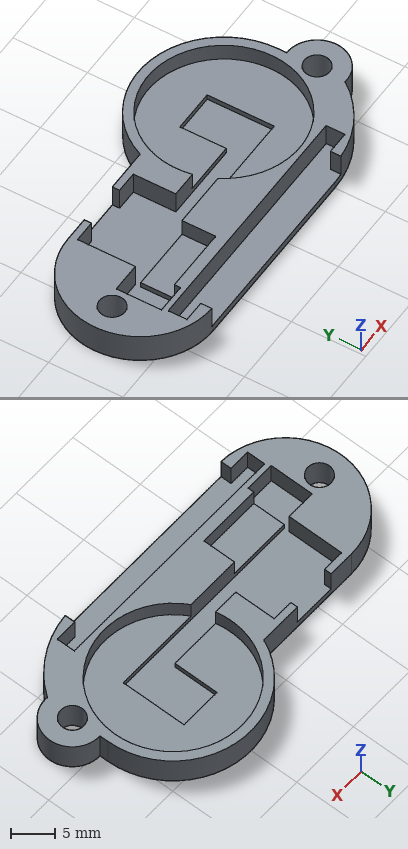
import cadquery as cq
import math

thickness = 4.0
end_radius = 9.75
overall_length = 51.4
overall_width = 26.45

battery_x = 26.0
housing_radius = 11.5
battery_y = overall_width - end_radius - housing_radius
battery_radius = 10.2

corner_radius = 13.85

lug_radius = 4.0
lug_x = overall_length - end_radius - lug_radius
hole_diameter = 3.4
left_hole_x = -6.0

deep_floor = 1.0
raised_floor = 1.7

circuit_left = 0.55
circuit_right = 12.45
circuit_top = 8.8
channel_bottom = 0.3
channel_top = 3.1
contact_left = 23.15
contact_right = 29.0
contact_top = 9.3
connector_left = 3.55
connector_right = 9.5

side_left = -3.5
side_bottom = -5.05
side_top = 1.05
step_right = 9.35
step_bottom = -4.2

slot_left = -3.2
slot_right = 30.4
slot_top = -5.75
lip_top = -8.25
mouth_left = -0.25
mouth_right = 27.35


def disc(x, y, radius, bottom=0.0):
    """Cylinder from the given height up to the top face."""
    return cq.Workplane("XY", origin=(x, y, bottom)).circle(radius).extrude(thickness - bottom)


def pocket(left, right, low, high, floor):
    """Rectangular cutter from a floor up to the top face."""
    size = (right - left, high - low, thickness - floor)
    return cq.Workplane("XY", origin=(left, low, floor)).box(*size, centered=False)


def make_body():
    """Plate with a rounded left end and a sweeping right corner, plus housing and lug."""
    corner_center_y = corner_radius - end_radius
    corner_angle = math.acos(housing_radius / corner_radius)
    corner_mid_angle = (math.pi / 2 + corner_angle) / 2
    corner_mid = (
        battery_x + corner_radius * math.cos(corner_mid_angle),
        corner_center_y - corner_radius * math.sin(corner_mid_angle),
    )
    corner_end = (
        battery_x + housing_radius,
        corner_center_y - corner_radius * math.sin(corner_angle),
    )
    plate = (
        cq.Workplane("XY")
        .moveTo(0, end_radius)
        .threePointArc((-end_radius, 0), (0, -end_radius))
        .lineTo(battery_x, -end_radius)
        .threePointArc(corner_mid, corner_end)
        .lineTo(battery_x + housing_radius, battery_y)
        .lineTo(battery_x, end_radius)
        .close()
        .extrude(thickness)
    )
    housing = disc(battery_x, battery_y, housing_radius)
    lug = disc(lug_x, 0, lug_radius)
    return plate.union(housing).union(lug)


def cut_battery_and_circuit(body):
    """Battery well, circuit pocket, wire channel and adjoining recesses."""
    cutters = [
        disc(battery_x, battery_y, battery_radius, raised_floor),
        pocket(circuit_left, circuit_right, channel_bottom, circuit_top, deep_floor),
        pocket(connector_left, connector_right, channel_bottom, end_radius, deep_floor),
        pocket(circuit_left, contact_right, channel_bottom, channel_top, deep_floor),
        pocket(contact_left, contact_right, channel_bottom, contact_top, deep_floor),
        pocket(side_left, circuit_left, side_bottom, side_top, deep_floor),
        pocket(circuit_left, step_right, step_bottom, channel_bottom, raised_floor),
    ]
    for cutter in cutters:
        body = body.cut(cutter)
    return body


def cut_front_slot(body):
    """Long slot with a retaining lip at each end of its mouth."""
    body = body.cut(pocket(slot_left, slot_right, lip_top, slot_top, deep_floor))
    return body.cut(pocket(mouth_left, mouth_right, -end_radius, lip_top, deep_floor))


def drill_holes(body):
    """Through hole at the left end and through the lug."""
    for hole_x in (left_hole_x, lug_x):
        body = body.cut(disc(hole_x, 0, hole_diameter / 2))
    return body


result = drill_holes(cut_front_slot(cut_battery_and_circuit(make_body())))